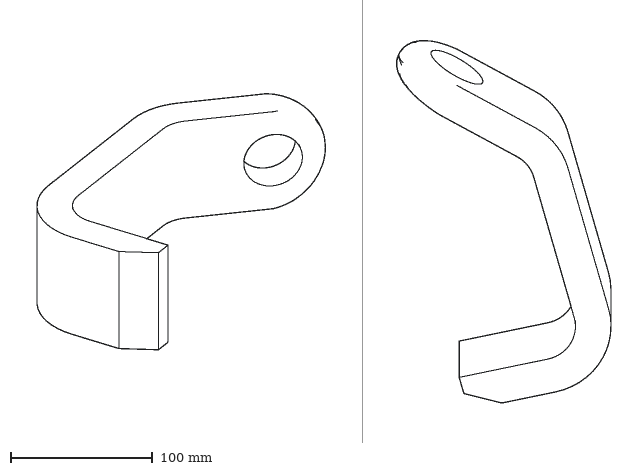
import cadquery as cq
import math

total_x = 115.0
total_y = 261.3
width = 80.0
thickness = 25.0
outer_bend = 50.0
arm_angle = 45.0
foot_slope = 3.0
foot_bevel_x = 91.0
foot_bevel_angle = 30.0
upper_bend_y = 158.4
hole_diameter = 42.0

section_count = 13
core_radius = 26.1
smallest_round = 0.05

inner_bend = outer_bend - thickness
half_thickness = thickness / 2
half_width = width / 2
middle_bend = outer_bend - half_thickness
sin_arm = math.sin(math.radians(arm_angle))
cos_arm = math.cos(math.radians(arm_angle))

eye_y = total_y - (half_width - half_thickness) * sin_arm - half_thickness
bend_end_x = outer_bend - middle_bend * sin_arm
bend_end_y = upper_bend_y + middle_bend * cos_arm
eye_x = bend_end_x + (eye_y - bend_end_y) * cos_arm / sin_arm


def on_arc(center_y, radius, degrees):
    """Point on a bend arc; both bends share the same centre X."""
    angle = math.radians(degrees)
    return (outer_bend + radius * math.cos(angle), center_y + radius * math.sin(angle))


def along_foot(start, x):
    """Point at the given X on the sloping foot line through start."""
    return (x, start[1] + (x - start[0]) * math.tan(math.radians(foot_slope)))


def make_strap():
    """Constant-width bent strap, ending square at the eye centre."""
    upper_end = 180 - (90 - arm_angle)
    foot_start = 270 + foot_slope
    lower_middle = (180 + foot_start) / 2
    upper_middle = (180 + upper_end) / 2
    lower_y = outer_bend
    outer_foot = on_arc(lower_y, outer_bend, foot_start)
    inner_foot = on_arc(lower_y, inner_bend, foot_start)
    bevel_start = along_foot(outer_foot, foot_bevel_x)
    bevel_rise = (total_x - foot_bevel_x) * math.tan(math.radians(foot_bevel_angle))
    across_x = half_thickness * sin_arm
    across_y = half_thickness * cos_arm
    return (
        cq.Workplane("XY")
        .workplane(offset=-half_width)
        .moveTo(*outer_foot)
        .lineTo(*bevel_start)
        .lineTo(total_x, bevel_start[1] + bevel_rise)
        .lineTo(*along_foot(inner_foot, total_x))
        .lineTo(*inner_foot)
        .threePointArc(on_arc(lower_y, inner_bend, lower_middle), on_arc(lower_y, inner_bend, 180))
        .lineTo(*on_arc(upper_bend_y, inner_bend, 180))
        .threePointArc(
            on_arc(upper_bend_y, inner_bend, upper_middle),
            on_arc(upper_bend_y, inner_bend, upper_end),
        )
        .lineTo(eye_x + across_x, eye_y - across_y)
        .lineTo(eye_x - across_x, eye_y + across_y)
        .lineTo(*on_arc(upper_bend_y, outer_bend, upper_end))
        .threePointArc(
            on_arc(upper_bend_y, outer_bend, upper_middle),
            on_arc(upper_bend_y, outer_bend, 180),
        )
        .lineTo(*on_arc(lower_y, outer_bend, 180))
        .threePointArc(on_arc(lower_y, outer_bend, lower_middle), outer_foot)
        .close()
        .extrude(width)
    )


def rim_section(angle):
    """Radial slice of the eye rim; its corner rounding grows towards the tip."""
    full_round = half_thickness - smallest_round
    corner = smallest_round + (full_round - smallest_round) * math.sin(angle)
    diagonal = corner * (1 - math.sqrt(0.5))
    radial = cq.Vector(math.sin(angle), 0, math.cos(angle))
    plane = cq.Plane(origin=(0, 0, 0), xDir=radial, normal=radial.cross(cq.Vector(0, 1, 0)))
    profile = (
        cq.Workplane(plane)
        .moveTo(core_radius, -half_thickness)
        .lineTo(half_width - corner, -half_thickness)
        .threePointArc(
            (half_width - diagonal, -half_thickness + diagonal),
            (half_width, -half_thickness + corner),
        )
        .lineTo(half_width, half_thickness - corner)
        .threePointArc(
            (half_width - diagonal, half_thickness - diagonal),
            (half_width - corner, half_thickness),
        )
        .lineTo(core_radius, half_thickness)
        .close()
    )
    return profile.wire().val()


def make_eye():
    """Half-disc tip, built with its axis along Y and then turned to the arm."""
    angles = [math.pi * i / (section_count - 1) for i in range(section_count)]
    rim = cq.Workplane(cq.Solid.makeLoft([rim_section(angle) for angle in angles]))
    core_overlap = 0.5
    core = (
        cq.Workplane("XZ", origin=(0, half_thickness, 0))
        .circle(core_radius + core_overlap)
        .extrude(thickness)
    )
    eye = rim.union(core)
    return eye.rotate((0, 0, 0), (0, 0, 1), arm_angle).translate((eye_x, eye_y, 0))


def make_hole():
    """Through hole, concentric with the eye and square to the arm."""
    hole = (
        cq.Workplane("XZ", origin=(0, thickness, 0))
        .circle(hole_diameter / 2)
        .extrude(2 * thickness)
    )
    return hole.rotate((0, 0, 0), (0, 0, 1), arm_angle).translate((eye_x, eye_y, 0))


result = make_strap().union(make_eye()).cut(make_hole())